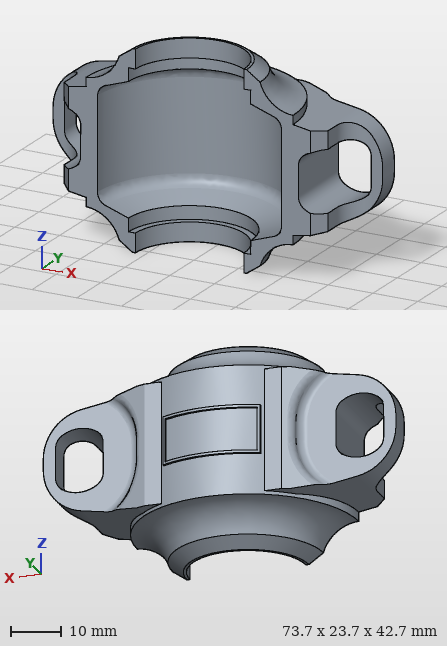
import cadquery as cq
import math


half_length = 73.65 / 2
half_height = 42.65 / 2

shell_radius = 23.1
shell_half_height = 13.55
lip_radius = 12.75
neck_radius = 15.8
neck_z = 19.2
neck_arc_middle = (18.1, 15.55)

bore_radius = 24.2 / 2
groove_radius = 27.3 / 2
groove_outer_z = 17.15
groove_inner_z = 14.3
cavity_radius = 20.55
cavity_corner_z = 11.9
cavity_fillet = 2.6

foot_x = 27.0
ear_inner_x = 29.5
foot_chamfer_height = 2.65
ear_arc_radius = 5.0
ear_bottom_y = 11.7
ear_top_y = 16.65
web_top_y = 20.5
web_slope_start_x = 14.3
web_slope_angle = 18.0

taper_start_x = 16.05
taper_angle = 9.5
ear_tip_half_flat = 2.4 / 2
ear_tip_radius = 9.6

slot_inner_x = 24.3
slot_outer_x = 34.25
slot_end_radius = 6.7
slot_corner_radius = 2.95
clearance_radius = 12.7
clearance_half_flat = 3.75 / 2
clearance_foot_fillet = 1.8
clearance_top_round = 1.8

border_radius = 23.65
border_half_length = 20.3 / 2
border_half_height = 10.1 / 2
border_width = 0.55

slot_x = (slot_inner_x + slot_outer_x) / 2


def turned(profile, angle):
    """Revolve a profile about Z, starting at +X and turning toward +Y."""
    return profile.close().revolve(angle, (0, 0), (0, 1))


def shell_outside():
    """Turned outside: cylinder, concave shoulder and conical lip at both ends."""
    arc_radius, arc_z = neck_arc_middle
    profile = (
        cq.Workplane("XZ")
        .moveTo(0, -half_height)
        .lineTo(lip_radius, -half_height)
        .lineTo(neck_radius, -neck_z)
        .threePointArc((arc_radius, -arc_z), (shell_radius, -shell_half_height))
        .lineTo(shell_radius, shell_half_height)
        .threePointArc((arc_radius, arc_z), (neck_radius, neck_z))
        .lineTo(lip_radius, half_height)
        .lineTo(0, half_height)
    )
    return turned(profile, 180)


def shell_inside():
    """Turned cavity: wide chamber, cones, seal grooves and end bores."""
    upper_points = [
        (cavity_radius, cavity_corner_z),
        (groove_radius, groove_inner_z),
        (groove_radius, groove_outer_z),
        (bore_radius, groove_outer_z),
        (bore_radius, half_height),
        (0, half_height),
    ]
    lower_points = [(radius, -z) for radius, z in reversed(upper_points)]
    cavity = turned(cq.Workplane("XZ").polyline(lower_points + upper_points), 360)
    for corner_z in (-cavity_corner_z, cavity_corner_z):
        corner = cq.selectors.NearestToPointSelector((0, 0, corner_z))
        cavity = cavity.edges("%CIRCLE").edges(corner).fillet(cavity_fillet)
    return cavity


def ear_outline():
    """Prism along Y: flat web, taper and rounded ear tip."""
    taper = math.radians(taper_angle)
    turn = (math.pi / 2 - taper) / 2
    center_x = half_length - ear_tip_radius
    tangent_x = center_x + ear_tip_radius * math.sin(taper)
    tangent_z = ear_tip_half_flat + ear_tip_radius * math.cos(taper)
    middle_x = center_x + ear_tip_radius * math.cos(turn)
    middle_z = ear_tip_half_flat + ear_tip_radius * math.sin(turn)
    taper_start_z = tangent_z + (tangent_x - taper_start_x) * math.tan(taper)
    upper = (
        cq.Workplane("XZ")
        .lineTo(half_length, 0)
        .lineTo(half_length, ear_tip_half_flat)
        .threePointArc((middle_x, middle_z), (tangent_x, tangent_z))
        .lineTo(taper_start_x, taper_start_z)
        .lineTo(0, taper_start_z)
        .close()
        .extrude(-shell_radius)
    )
    return upper.union(upper.mirror("XY"))


def bolt_head_clearance():
    """Round-ended pocket above the ear with a filleted foot."""
    length = 2 * (clearance_radius + clearance_half_flat)
    return (
        cq.Workplane("XZ", origin=(slot_x, ear_top_y, 0))
        .slot2D(length, 2 * clearance_radius, 90)
        .extrude(-shell_radius)
        .faces("<Y")
        .edges()
        .fillet(clearance_foot_fillet)
    )


def bolt_slot():
    """Through slot: a round hole flattened on two sides, corners rounded."""
    width = slot_outer_x - slot_inner_x
    band = cq.Workplane("XY").box(width, 2 * shell_radius, 2 * slot_end_radius)
    hole = cq.Workplane("XZ").circle(slot_end_radius).extrude(shell_radius, both=True)
    slot = hole.intersect(band).edges("|Y").fillet(slot_corner_radius)
    return slot.translate((slot_x, 0, 0))


def web_and_ear():
    """Web and slotted ear on the +X side, reaching inward to the axis."""
    slope = math.tan(math.radians(web_slope_angle))
    slope_end_x = web_slope_start_x + (web_top_y - ear_top_y) / slope
    arc_x = ear_inner_x + ear_arc_radius
    arc_y = ear_bottom_y - ear_arc_radius
    arc_middle_offset = ear_arc_radius * math.sqrt(0.5)
    profile = (
        cq.Workplane("XY")
        .lineTo(foot_x, 0)
        .lineTo(ear_inner_x, foot_chamfer_height)
        .lineTo(ear_inner_x, arc_y)
        .threePointArc(
            (arc_x - arc_middle_offset, arc_y + arc_middle_offset),
            (arc_x, ear_bottom_y),
        )
        .lineTo(half_length, ear_bottom_y)
        .lineTo(half_length, ear_top_y)
        .lineTo(slope_end_x, ear_top_y)
        .lineTo(web_slope_start_x, web_top_y)
        .lineTo(0, web_top_y)
        .close()
        .extrude(shell_half_height, both=True)
    )
    ear = profile.intersect(ear_outline()).cut(bolt_head_clearance())

    rim_x = slot_x - clearance_radius
    rim_y = web_top_y - slope * (rim_x - web_slope_start_x)
    rim = cq.selectors.NearestToPointSelector((rim_x, rim_y, 0))
    return ear.edges(rim).fillet(clearance_top_round).cut(bolt_slot())


def crown_border():
    """Thin rectangular rim standing on the crown, concentric with the shell."""
    frame = (
        cq.Workplane("XZ")
        .rect(2 * border_half_length, 2 * border_half_height)
        .rect(
            2 * (border_half_length - border_width),
            2 * (border_half_height - border_width),
        )
        .extrude(-2 * border_radius)
    )
    wall_middle = (shell_radius + cavity_radius) / 2
    ring = (
        cq.Workplane("XY")
        .circle(border_radius)
        .circle(wall_middle)
        .extrude(border_half_height, both=True)
    )
    return ring.intersect(frame)


right_side = web_and_ear()
result = (
    shell_outside()
    .union(right_side)
    .union(right_side.mirror("YZ"))
    .cut(shell_inside())
    .union(crown_border())
    .clean()
)